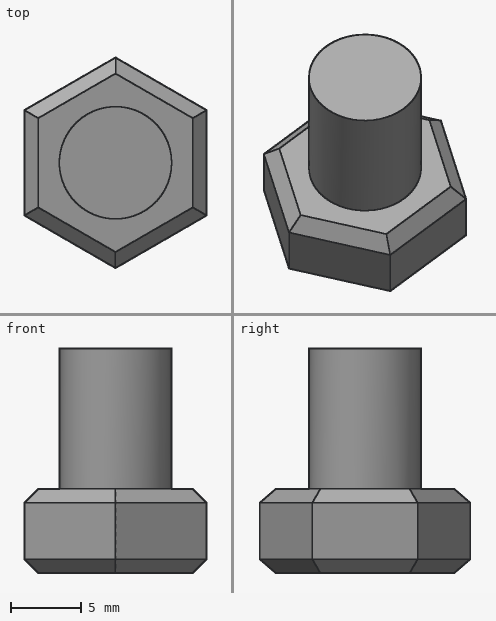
import cadquery as cq
import math

total_height = 16.0
head_height = 6.0
head_across_flats = 13.0
head_chamfer = 1.0
shank_diameter = 8.0

head_across_corners = head_across_flats / math.cos(math.radians(30))
shank_length = total_height - head_height


def make_head():
    """Hexagonal head with two corners on the Y axis, chamfered at both ends."""
    hexagon = cq.Workplane("XY").polygon(6, head_across_corners).extrude(head_height)
    chamfered = hexagon.faces("|Z").chamfer(head_chamfer)
    return chamfered.rotate((0, 0, 0), (0, 0, 1), 90)


def make_shank():
    """Plain round shank standing on the top of the head."""
    return cq.Workplane("XY").workplane(offset=head_height).circle(shank_diameter / 2).extrude(shank_length)


result = make_head().union(make_shank())